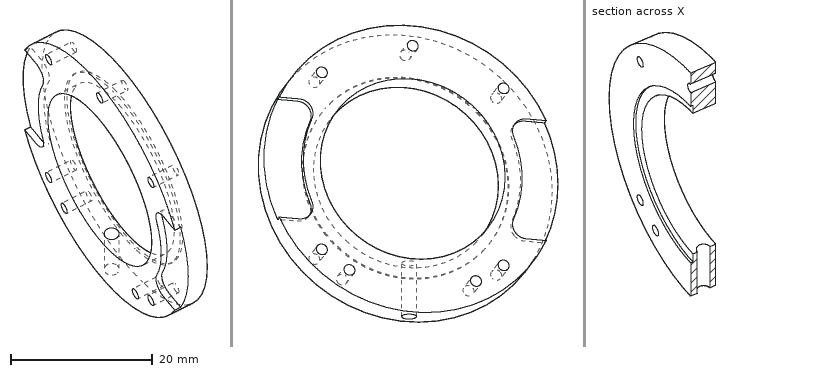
import cadquery as cq
import math

outer_diameter = 43.0
bore_diameter = 27.0
thickness = 4.2
front_y = -thickness / 2

hole_diameter = 1.6
trio_radius = 18.5
trio_angles = (90, 240, 300)
square_hole_offset = 13.3

pocket_depth = 1.0
pocket_height = 18.0
pocket_inner_radius = 16.0
pocket_corner_radius = 2.0

recess_diameter = 30.1
recess_depth = 0.4

radial_hole_diameter = 2.1
radial_hole_y = -0.1

def front_cylinder(diameter, depth):
    """Disc starting at the front face and reaching back along +Y."""
    return cq.Workplane("XZ", origin=(0, front_y, 0)).circle(diameter / 2).extrude(-depth)

def make_ring():
    return front_cylinder(outer_diameter, thickness).cut(front_cylinder(bore_diameter, thickness))

def make_back_recess():
    recess = cq.Workplane("XZ", origin=(0, -front_y, 0))
    return recess.circle(recess_diameter / 2).extrude(recess_depth)

def make_axial_holes():
    front = cq.Workplane("XZ", origin=(0, front_y, 0))
    trio_points = [
        (trio_radius * math.cos(math.radians(angle)), trio_radius * math.sin(math.radians(angle)))
        for angle in trio_angles
    ]
    trio = front.pushPoints(trio_points).circle(hole_diameter / 2).extrude(-thickness)
    square_spacing = 2 * square_hole_offset
    square = (
        front.rarray(square_spacing, square_spacing, 2, 2)
        .circle(hole_diameter / 2)
        .extrude(-thickness)
    )
    return trio.union(square)

def make_side_pockets():
    """Band across the ring, less a central disc, with rounded inner corners."""
    band = cq.Workplane("XY").box(2 * outer_diameter, pocket_depth, pocket_height)
    band = band.translate((0, front_y + pocket_depth / 2, 0))
    pockets = band.cut(front_cylinder(2 * pocket_inner_radius, pocket_depth))
    inner_corners = cq.selectors.BoxSelector(
        (-pocket_inner_radius, -thickness, -pocket_height),
        (pocket_inner_radius, thickness, pocket_height),
    )
    return pockets.edges("|Y").edges(inner_corners).fillet(pocket_corner_radius)

def make_radial_hole():
    start = cq.Workplane("XY", origin=(0, radial_hole_y, 0))
    return start.circle(radial_hole_diameter / 2).extrude(-outer_diameter / 2)

result = (
    make_ring()
    .cut(make_back_recess())
    .cut(make_axial_holes())
    .cut(make_side_pockets())
    .cut(make_radial_hole())
)